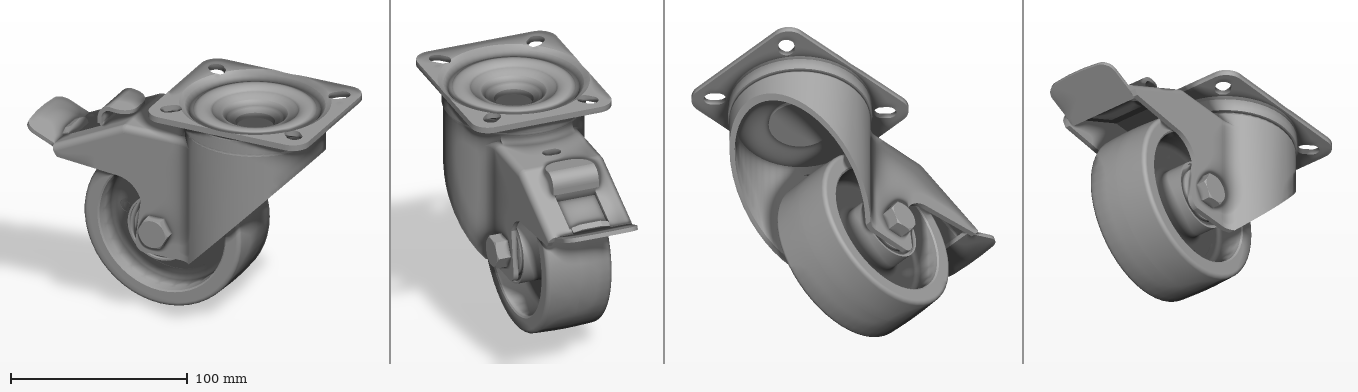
import cadquery as cq
import math


plate_length = 100.0
plate_width = 85.0
plate_thickness = 3.5
plate_corner_radius = 10.0
slot_pitch_x = 77.3
slot_pitch_y = 58.5
slot_width = 9.0
slot_length = 12.7

wheel_radius = 50.0
wheel_width = 40.0
overall_length = 186.7
overall_height = 130.0
swivel_offset = 49.3

sheet = 3.0
bend_radius = 4.0
fork_half_width = 26.0
skirt_radius = 40.0
skirt_blend_radius = 10.0
crown_depth = 13.3
shoulder_round = 2.0
roof_drop = 6.2
roof_blend = 4.1
leg_bottom = -15.5

bolt_radius = 5.0
hex_across_flats = 16.6
head_height = 8.0
nut_height = 6.3
hex_chamfer = 0.7

plate_top = overall_height - wheel_radius
plate_bottom = plate_top - plate_thickness
crown_top = plate_top - crown_depth
roof_top = crown_top - roof_drop
fork_inner_half = fork_half_width - sheet
axle_x = -swivel_offset

ring_radius = 40.9
ring_top = plate_top - 5.8
neck_radius = 39.4
pivot_radius = 17.7
dish_floor_radius = 10.5
dish_depth = 15.0
dish_radius = 43.1


def make_swivel_plate():
    """Slotted top plate with its dished centre, bearing ring and pivot."""
    flange = (
        cq.Workplane("XY", origin=(0, 0, plate_bottom))
        .rect(plate_length, plate_width)
        .extrude(plate_thickness)
        .edges("|Z")
        .fillet(plate_corner_radius)
    )
    pivot_bottom = plate_top - dish_depth - plate_thickness
    underside = (
        cq.Workplane("XZ")
        .moveTo(0, plate_bottom)
        .lineTo(ring_radius, plate_bottom)
        .lineTo(neck_radius, ring_top)
        .lineTo(ring_radius, ring_top)
        .lineTo(ring_radius, crown_top)
        .lineTo(pivot_radius, crown_top)
        .lineTo(pivot_radius, pivot_bottom)
        .lineTo(0, pivot_bottom)
        .close()
        .revolve(360, (0, 0), (0, 1))
    )
    dish = (
        cq.Workplane("XZ", origin=(0, 0, plate_top))
        .lineTo(dish_radius, 0)
        .lineTo(39.8, -2.0)
        .lineTo(37.1, -4.7)
        .lineTo(35.0, -4.3)
        .threePointArc((29.9, -2.6), (24.3, -5.0))
        .lineTo(21.8, -6.0)
        .lineTo(18.5, -7.3)
        .lineTo(16.0, -9.7)
        .lineTo(14.4, -10.3)
        .lineTo(11.2, -12.1)
        .lineTo(dish_floor_radius, -dish_depth)
        .lineTo(0, -dish_depth)
        .close()
        .revolve(360, (0, 0), (0, 1))
    )
    plate = flange.union(underside).cut(dish)
    for side_x in (-1, 1):
        for side_y in (-1, 1):
            slot_place = (side_x * slot_pitch_x / 2, side_y * slot_pitch_y / 2, plate_bottom)
            slot = (
                cq.Workplane("XY", origin=slot_place)
                .slot2D(slot_length, slot_width, 45 * side_x * side_y)
                .extrude(plate_thickness)
            )
            plate = plate.cut(slot)
    return plate


slope_angle = math.radians(25.5)
slope_start_x = -71.0
slope_bend_radius = 5.5
slope_run = 44.8
nose_x = slope_start_x - slope_run
nose_top = roof_top - slope_run * math.tan(slope_angle)
nose_bottom = (-114.6, 35.8)
skirt_foot_x = -27.6
skirt_rear_z = 54.5
inner_skirt_radius = skirt_radius - sheet
blend_center_y = fork_half_width + skirt_blend_radius
blend_center_x = -math.sqrt((skirt_radius + skirt_blend_radius) ** 2 - blend_center_y**2)
open_front_x = nose_x - sheet
roof_slot_x = -56.2
roof_slot_length = 11.0
roof_slot_width = 7.0

lever_sheet = 2.5
lever_width = 27.8
window_width = 24.0
window_start = 3.7
window_end = 29.0
tab_width = 22.4
tab_height = 2.8
tab_shoulder = 1.1
tab_top_width = 12.3
curl_center = (-85.0, 56.7)
curl_radius = 7.7
curl_tip_x = -72.5
curl_foot_z = 53.0
neck_foot_z = 47.2
neck_shift = 1.9
curl_arm_angle = math.radians(7)
curl_tip_round = 10.5
pedal_width = 44.8
pedal_angle = math.radians(23.5)
pedal_corner_radius = 7.8
pedal_bow = 2.0
pedal_root = 5.2


def plan_body(inset, top):
    """Straight-sided front and half-round skirt with concave blends, shrunk inwards by `inset`."""
    half_width = fork_half_width - inset
    radius = skirt_radius - inset
    blend = skirt_blend_radius + inset
    end_angle = math.atan2(-blend_center_y, -blend_center_x)
    middle_angle = (end_angle - math.pi / 2) / 2
    end_x = blend_center_x + blend * math.cos(end_angle)
    end_y = blend_center_y + blend * math.sin(end_angle)
    middle_x = blend_center_x + blend * math.cos(middle_angle)
    middle_y = blend_center_y + blend * math.sin(middle_angle)
    return (
        cq.Workplane("XY", origin=(0, 0, leg_bottom))
        .moveTo(open_front_x, -half_width)
        .lineTo(blend_center_x, -half_width)
        .threePointArc((middle_x, -middle_y), (end_x, -end_y))
        .threePointArc((radius, 0), (end_x, end_y))
        .threePointArc((middle_x, middle_y), (blend_center_x, half_width))
        .lineTo(open_front_x, half_width)
        .close()
        .extrude(top - leg_bottom)
    )


def side_prism(outline):
    """Closed XZ outline made into a prism that spans the whole width."""
    return outline.close().extrude(skirt_radius, both=True)


def make_fork_outside():
    """Outer form of the fork: bent front with legs, round skirt and crown."""
    side = (
        cq.Workplane("XZ")
        .moveTo(nose_x, nose_top)
        .lineTo(*nose_bottom)
        .lineTo(-112.5, 32.7)
        .lineTo(-76.2, 29.3)
        .threePointArc((-65.0, 25.2), (-59.4, 16.8))
        .lineTo(-62.7, -8.8)
        .threePointArc((-61.6, -13.3), (-57.9, leg_bottom))
        .lineTo(skirt_radius, leg_bottom)
        .lineTo(skirt_radius, roof_top)
        .lineTo(slope_start_x, roof_top)
    )
    side_body = side_prism(side)
    break_edge = side_body.edges(cq.selectors.NearestToPointSelector((slope_start_x, 0, roof_top)))
    front = plan_body(0, roof_top).intersect(break_edge.fillet(slope_bend_radius))
    roof_edges = [
        edge
        for edge in front.edges().vals()
        if edge.BoundingBox().zmin > nose_top - sheet / 2 and abs(edge.Center().y) > bend_radius
    ]
    front = front.newObject(roof_edges).fillet(bend_radius)
    skirt = (
        cq.Workplane("XY", origin=(0, 0, leg_bottom))
        .circle(skirt_radius)
        .extrude(crown_top - leg_bottom)
        .faces(">Z")
        .edges()
        .fillet(shoulder_round)
    )
    flare_radius = skirt_radius + roof_blend
    flare_bottom = roof_top - bend_radius
    flare = (
        cq.Workplane("XZ")
        .moveTo(0, flare_bottom)
        .lineTo(flare_radius, flare_bottom)
        .lineTo(flare_radius, roof_top)
        .radiusArc((skirt_radius, roof_top + roof_blend), roof_blend)
        .lineTo(0, roof_top + roof_blend)
        .close()
        .revolve(360, (0, 0), (0, 1))
    )
    flare_limit = (
        cq.Workplane("XY", origin=(-flare_radius / 2, 0, roof_top))
        .box(flare_radius, 2 * (fork_half_width - bend_radius), 2 * flare_radius)
    )
    return front.union(skirt).union(flare.intersect(flare_limit))


def make_fork_cavity():
    """Space inside the sheet metal, open below and at the front."""
    ceiling = roof_top - sheet
    corner_x = slope_start_x + sheet * math.tan(slope_angle / 2)
    front_z = ceiling - (corner_x - open_front_x) * math.tan(slope_angle)
    side = (
        cq.Workplane("XZ")
        .moveTo(open_front_x, leg_bottom)
        .lineTo(open_front_x, front_z)
        .lineTo(corner_x, ceiling)
        .lineTo(skirt_radius, ceiling)
        .lineTo(skirt_radius, leg_bottom)
    )
    front = plan_body(sheet, roof_top).intersect(side_prism(side))
    skirt = (
        cq.Workplane("XY", origin=(0, 0, leg_bottom))
        .circle(inner_skirt_radius)
        .extrude(crown_top - sheet - leg_bottom)
    )
    return front.union(skirt)


slope_direction = cq.Vector(math.cos(slope_angle), 0, math.sin(slope_angle))
slope_normal = cq.Vector(-math.sin(slope_angle), 0, math.cos(slope_angle))


def slope_slab(start, end, width, bottom, top):
    """Flat slab along the sloped roof; start and end run up the slope from the nose."""
    nose = cq.Plane(origin=(nose_x, 0, nose_top), xDir=slope_direction, normal=slope_normal)
    return (
        cq.Workplane(nose)
        .workplane(offset=bottom)
        .center((start + end) / 2, 0)
        .rect(end - start, width)
        .extrude(top - bottom)
    )


def make_lever_strip():
    """Lever sheet that closes the window from below."""
    return slope_slab(window_start - 1.9, window_end + 1.9, lever_width, -sheet - lever_sheet, -sheet)


def make_stop_tab():
    """Low tab with slanted ends at the nose edge of the window."""
    across = cq.Plane(origin=(nose_x, 0, nose_top), xDir=(0, 1, 0), normal=slope_direction)
    half = tab_width / 2
    return (
        cq.Workplane(across)
        .moveTo(-half, 0)
        .lineTo(-half, tab_shoulder)
        .lineTo(-tab_top_width / 2, tab_height)
        .lineTo(tab_top_width / 2, tab_height)
        .lineTo(half, tab_shoulder)
        .lineTo(half, 0)
        .close()
        .extrude(window_start)
    )


def make_lever_curl():
    """Curled finger grip that rises through the window and folds back over it."""
    center_x, center_z = curl_center
    inner_radius = curl_radius - lever_sheet
    outer_x = center_x - curl_radius
    inner_x = center_x - inner_radius
    arm_drop = (curl_tip_x - center_x) * math.tan(curl_arm_angle)
    diagonal = math.sqrt(0.5)
    curl = (
        cq.Workplane("XZ")
        .moveTo(curl_tip_x, center_z + curl_radius - arm_drop)
        .lineTo(center_x, center_z + curl_radius)
        .threePointArc(
            (center_x - curl_radius * diagonal, center_z + curl_radius * diagonal),
            (outer_x, center_z),
        )
        .lineTo(outer_x, curl_foot_z)
        .lineTo(inner_x, curl_foot_z)
        .lineTo(inner_x, center_z)
        .threePointArc(
            (center_x - inner_radius * diagonal, center_z + inner_radius * diagonal),
            (center_x, center_z + inner_radius),
        )
        .lineTo(curl_tip_x, center_z + inner_radius - arm_drop)
        .close()
        .extrude(lever_width / 2, both=True)
    )
    rounded_tip = (
        cq.Workplane("XY")
        .box(2 * (curl_tip_x - outer_x), lever_width, overall_height)
        .edges("|Z")
        .fillet(curl_tip_round)
        .translate((outer_x, 0, 0))
    )
    neck = (
        cq.Workplane("XZ")
        .moveTo(outer_x, curl_foot_z)
        .lineTo(inner_x, curl_foot_z)
        .lineTo(inner_x + neck_shift, neck_foot_z)
        .lineTo(outer_x + neck_shift, neck_foot_z)
        .close()
        .extrude(window_width / 2, both=True)
    )
    return curl.intersect(rounded_tip).union(neck)


def make_pedal():
    """Foot pedal that rises forward from the nose, with rounded corners and a bowed tip."""
    run = math.cos(pedal_angle)
    rise = math.sin(pedal_angle)
    tip_x = plate_length / 2 - overall_length
    length = (nose_bottom[0] - tip_x) / run
    plane = cq.Plane(
        origin=(nose_bottom[0], 0, nose_bottom[1]), xDir=(-run, 0, rise), normal=(-rise, 0, -run)
    )
    half = pedal_width / 2
    return (
        cq.Workplane(plane)
        .moveTo(-pedal_root, -half)
        .lineTo(length - pedal_bow, -half)
        .threePointArc((length, 0), (length - pedal_bow, half))
        .lineTo(-pedal_root, half)
        .close()
        .extrude(-lever_sheet)
        .edges(cq.selectors.ParallelDirSelector(plane.zDir))
        .edges("<X")
        .fillet(pedal_corner_radius)
    )


def make_fork():
    """Sheet-metal fork with its brake lever and pedal."""
    rear = (
        cq.Workplane("XZ")
        .moveTo(skirt_foot_x, leg_bottom)
        .lineTo(skirt_radius, skirt_rear_z)
        .lineTo(skirt_radius, leg_bottom)
    )
    roof_slot = (
        cq.Workplane("XY", origin=(roof_slot_x, 0, roof_top - 2 * sheet))
        .slot2D(roof_slot_length, roof_slot_width, 90)
        .extrude(3 * sheet)
    )
    pivot_hole = (
        cq.Workplane("XY", origin=(0, 0, roof_top - 2 * sheet))
        .circle(pivot_radius)
        .extrude(crown_depth)
    )
    window = slope_slab(window_start, window_end, window_width, -sheet, sheet)
    bolt_hole = y_cylinder(bolt_radius, -skirt_radius, skirt_radius)
    fork = make_fork_outside().cut(make_fork_cavity()).cut(side_prism(rear))
    fork = fork.cut(roof_slot).cut(pivot_hole).cut(bolt_hole).cut(window)
    fork = fork.union(make_lever_strip()).union(make_stop_tab())
    return fork.union(make_lever_curl()).union(make_pedal())


tread_edge_radius = 49.5
tyre_corner = 2.5
rim_lip_radius = 40.5
rim_edge_radius = 39.5
rim_lip_depth = 0.7
rim_inner_radius = 38.8
web_half = 3.7
web_outer_radius = 36.0
web_inner_radius = 23.9
hub_radius = 20.2
hub_half = 22.4
bearing_seat_radius = 19.0
bearing_seat_depth = 1.9
collar_radius = 15.7
collar_chamfer_radius = 13.3
label_inner_radius = 26.9
label_outer_radius = 32.9
label_depth = 0.4
label_start = 199
label_sweep = 181
mark_radius = 29.9
mark_outer_radius = 4.1
mark_inner_radius = 2.0


def y_cylinder(radius, start, end):
    """Cylinder about the wheel axle from Y = start to Y = end."""
    return (
        cq.Workplane("XZ", origin=(axle_x, start, 0))
        .circle(radius)
        .extrude(start - end)
    )


def make_wheel():
    """Wheel with crowned tread, thin web and long hub, bored for the bolt."""
    half = wheel_width / 2
    crown = wheel_radius - tread_edge_radius
    crown_half = half - tyre_corner
    hub_fillet = web_inner_radius - hub_radius
    rim_fillet = rim_inner_radius - web_outer_radius
    seat_y = hub_half - bearing_seat_depth
    half_wheel = (
        cq.Workplane("XY")
        .moveTo(bolt_radius, 0)
        .lineTo(bolt_radius, fork_inner_half)
        .lineTo(collar_chamfer_radius, fork_inner_half)
        .lineTo(collar_radius, hub_half)
        .lineTo(collar_radius, seat_y)
        .lineTo(bearing_seat_radius, seat_y)
        .lineTo(bearing_seat_radius, hub_half)
        .lineTo(hub_radius, hub_half)
        .lineTo(hub_radius, web_half + hub_fillet)
        .radiusArc((web_inner_radius, web_half), -hub_fillet)
        .lineTo(web_outer_radius, web_half)
        .radiusArc((rim_inner_radius, web_half + rim_fillet), -rim_fillet)
        .lineTo(rim_edge_radius, half - rim_lip_depth)
        .lineTo(rim_lip_radius, half)
        .lineTo(tread_edge_radius - tyre_corner, half)
        .radiusArc((tread_edge_radius, crown_half), tyre_corner)
        .threePointArc((wheel_radius - crown / 4, crown_half / 2), (wheel_radius, 0))
        .close()
        .revolve(360, (0, 0), (0, 1))
        .translate((axle_x, 0, 0))
    )
    wheel = half_wheel.union(half_wheel.mirror("XZ"))
    return wheel.cut(make_label_groove()).cut(make_mark_groove())


def make_label_groove():
    """Shallow arc-shaped recess in the front of the web."""
    def at(radius, degrees):
        angle = math.radians(degrees)
        return (radius * math.cos(angle), radius * math.sin(angle))

    label_end = label_start + label_sweep
    label_middle = (label_start + label_end) / 2
    return (
        cq.Workplane("XZ", origin=(axle_x, -web_half, 0))
        .moveTo(*at(label_inner_radius, label_start))
        .threePointArc(at(label_inner_radius, label_middle), at(label_inner_radius, label_end))
        .lineTo(*at(label_outer_radius, label_end))
        .threePointArc(at(label_outer_radius, label_middle), at(label_outer_radius, label_start))
        .close()
        .extrude(-label_depth)
    )


def make_mark_groove():
    """Small ring-shaped recess in the front of the web."""
    return (
        cq.Workplane("XZ", origin=(axle_x - mark_radius, -web_half, 0))
        .circle(mark_outer_radius)
        .circle(mark_inner_radius)
        .extrude(-label_depth)
    )


def make_axle():
    """Hexagon bolt and nut on the axle, as one body."""
    corner_diameter = hex_across_flats / math.cos(math.pi / 6)
    axle = y_cylinder(bolt_radius, -fork_half_width, fork_half_width)
    for side, height in ((1, head_height), (-1, nut_height)):
        hexagon = (
            cq.Workplane("XZ", origin=(axle_x, side * fork_half_width, 0))
            .polygon(6, corner_diameter)
            .extrude(-side * height)
        )
        outer_end = side * (fork_half_width + height)
        rounding = (
            y_cylinder(corner_diameter / 2, 0, outer_end)
            .faces(">Y" if side > 0 else "<Y")
            .chamfer(hex_chamfer, (corner_diameter - hex_across_flats) / 2)
        )
        axle = axle.union(hexagon.intersect(rounding))
    return axle


swivel_plate = make_swivel_plate()
fork = make_fork()
wheel = make_wheel()
axle = make_axle()

result = cq.Compound.makeCompound([swivel_plate.val(), fork.val(), wheel.val(), axle.val()])